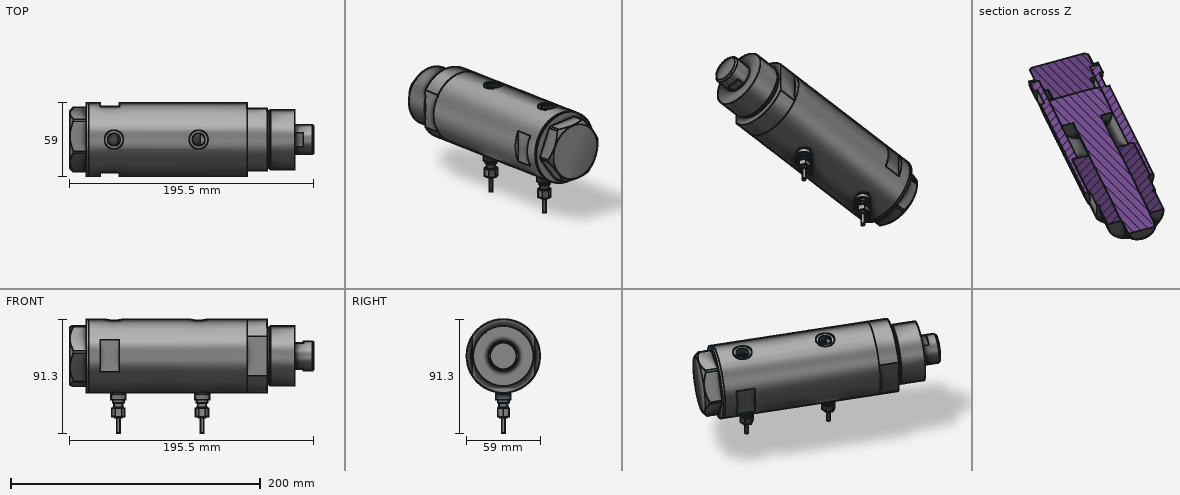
import cadquery as cq


HEX_TURN = 30.0

FLANGE_START = 13.0
HOUSING_START = 15.0
GLAND_START = 142.0
NECK_START = 157.9
COLLAR_START = 159.9
COLLAR_END = 180.2
ROD_END = 195.5

BODY_RADIUS = 29.5
BORE_RADIUS = 21.5
GLAND_SEAT_RADIUS = 26.0
HOUSING_FLAT_WIDTH = 53.2
HOUSING_FLAT_START = 24.6
HOUSING_FLAT_LENGTH = 15.0
PORT_POSITIONS = (35.4, 103.2)
PORT_DIAMETER = 10.0
SPOTFACE_DIAMETER = 15.0
SPOTFACE_DEPTH = 1.2

HEX_WIDTH = 46.0
HEX_CORNER_RADIUS = 26.0
HEX_FACE_RADIUS = 22.7
HEX_CHAMFER_LENGTH = 3.0
HEX_TILT = 7.0
PLUG_END = 27.4
STOP_RADIUS = 18.2

GLAND_SPIGOT_START = 104.4
GLAND_FLAT_WIDTH = 50.0
COLLAR_RADIUS = 24.0
NECK_RADIUS = 23.0
COLLAR_CHAMFER = COLLAR_RADIUS - NECK_RADIUS

PISTON_START = 38.5
PISTON_LENGTH = 29.3
ROD_RADIUS = 12.0
ROD_CHAMFER = 1.4
ROD_FLAT_WIDTH = 21.1
ROD_FLAT_LENGTH = 6.8

SENSOR_POSITIONS = (38.9, 106.0)
SENSOR_TOP = 28.0
SENSOR_PLUG_RADIUS = 5.9
SENSOR_PLUG_END = 30.5
SENSOR_BASE_RADIUS = 6.0
SENSOR_BASE_END = 35.0
SENSOR_RING_DIAMETER = 9.2
SENSOR_RING_END = 37.3
SENSOR_SHOULDER_RADIUS = 3.7
SENSOR_SHOULDER_END = 38.0
SENSOR_NECK_RADIUS = 3.5
SENSOR_NECK_END = 41.2
SENSOR_WASHER_RADIUS = 4.1
SENSOR_WASHER_END = 41.8
SENSOR_NUT_WIDTH = 9.2
SENSOR_NUT_END = 48.5
SENSOR_TIP_TOP_RADIUS = 3.7
SENSOR_TIP_BOTTOM_RADIUS = 2.5
SENSOR_TIP_END = 49.6
CABLE_RADIUS = 1.4
CABLE_END = 61.8


def axial_cylinder(radius, start, end):
    """Cylinder about the X axis between two stations."""
    return cq.Workplane("YZ", origin=(start, 0, 0)).circle(radius).extrude(end - start)


def vertical_cylinder(x, radius, bottom, top):
    """Cylinder about a vertical line through the X axis."""
    return cq.Workplane("XY", origin=(x, 0, bottom)).circle(radius).extrude(top - bottom)


def vertical_cone(x, bottom_radius, top_radius, bottom, top):
    """Cut-off cone about a vertical line through the X axis."""
    up = cq.Vector(0, 0, 1)
    cone = cq.Solid.makeCone(bottom_radius, top_radius, top - bottom, cq.Vector(x, 0, bottom), up)
    return cq.Workplane("XY").add(cone)


def flat_cutters(start, end, flat_width):
    """Pair of blocks to cut away, which leave two flats facing -Y and +Y at flat_width apart."""
    block_size = 2 * BODY_RADIUS
    offset = (flat_width + block_size) / 2
    return (
        cq.Workplane("XY", origin=((start + end) / 2, 0, 0))
        .pushPoints([(0, -offset), (0, offset)])
        .box(end - start, block_size, block_size)
    )


def make_housing():
    housing = axial_cylinder(BODY_RADIUS, HOUSING_START, GLAND_START)
    housing = housing.cut(axial_cylinder(BORE_RADIUS, HOUSING_START, GLAND_START))
    housing = housing.cut(axial_cylinder(GLAND_SEAT_RADIUS, GLAND_SPIGOT_START, GLAND_START))
    flat_end = HOUSING_FLAT_START + HOUSING_FLAT_LENGTH
    housing = housing.cut(flat_cutters(HOUSING_FLAT_START, flat_end, HOUSING_FLAT_WIDTH))
    spotface_floor = BODY_RADIUS - SPOTFACE_DEPTH
    for x in PORT_POSITIONS:
        port = vertical_cylinder(x, PORT_DIAMETER / 2, 0, BODY_RADIUS)
        spotface = vertical_cylinder(x, SPOTFACE_DIAMETER / 2, spotface_floor, BODY_RADIUS)
        housing = housing.cut(port).cut(spotface)
    for x in SENSOR_POSITIONS:
        housing = housing.cut(vertical_cylinder(x, SENSOR_PLUG_RADIUS, -BODY_RADIUS, -SENSOR_TOP))
    return housing


def make_cap():
    hex_head = (
        cq.Workplane("YZ")
        .polygon(6, HEX_WIDTH, circumscribed=True)
        .extrude(FLANGE_START)
        .rotate((0, 0, 0), (1, 0, 0), HEX_TURN - HEX_TILT)
    )
    corner_trim = (
        cq.Workplane("XY")
        .moveTo(0, 0)
        .lineTo(0, HEX_FACE_RADIUS)
        .lineTo(HEX_CHAMFER_LENGTH, HEX_CORNER_RADIUS)
        .lineTo(FLANGE_START, HEX_CORNER_RADIUS)
        .lineTo(FLANGE_START, 0)
        .close()
        .revolve(360, (0, 0, 0), (1, 0, 0))
    )
    flange = axial_cylinder(BODY_RADIUS, FLANGE_START, HOUSING_START)
    plug = axial_cylinder(BORE_RADIUS, HOUSING_START, PLUG_END)
    stop = axial_cylinder(STOP_RADIUS, PLUG_END, PISTON_START)
    return hex_head.intersect(corner_trim).union(flange).union(plug).union(stop)


def make_gland():
    spigot = axial_cylinder(GLAND_SEAT_RADIUS, GLAND_SPIGOT_START, GLAND_START)
    head = axial_cylinder(BODY_RADIUS, GLAND_START, NECK_START)
    head = head.cut(flat_cutters(GLAND_START, NECK_START, GLAND_FLAT_WIDTH))
    neck = axial_cylinder(NECK_RADIUS, NECK_START, COLLAR_START)
    collar_blank = axial_cylinder(COLLAR_RADIUS, COLLAR_START, COLLAR_END)
    collar = collar_blank.faces("<X").chamfer(COLLAR_CHAMFER)
    rod_bore = axial_cylinder(ROD_RADIUS, GLAND_SPIGOT_START, COLLAR_END)
    return spigot.union(head).union(neck).union(collar).cut(rod_bore)


def make_piston_rod():
    piston = axial_cylinder(BORE_RADIUS, PISTON_START, PISTON_START + PISTON_LENGTH)
    rod = axial_cylinder(ROD_RADIUS, PISTON_START, ROD_END).faces(">X").chamfer(ROD_CHAMFER)
    cutters = flat_cutters(COLLAR_END, COLLAR_END + ROD_FLAT_LENGTH, ROD_FLAT_WIDTH)
    rod = rod.cut(cutters.rotate((0, 0, 0), (1, 0, 0), 90))
    return piston.union(rod)


def make_sensor(x):
    round_sections = [
        (SENSOR_PLUG_RADIUS, SENSOR_TOP, SENSOR_PLUG_END),
        (SENSOR_BASE_RADIUS, SENSOR_PLUG_END, SENSOR_BASE_END),
        (SENSOR_RING_DIAMETER / 2, SENSOR_BASE_END, SENSOR_RING_END),
        (SENSOR_SHOULDER_RADIUS, SENSOR_RING_END, SENSOR_SHOULDER_END),
        (SENSOR_NECK_RADIUS, SENSOR_SHOULDER_END, SENSOR_NECK_END),
        (SENSOR_WASHER_RADIUS, SENSOR_NECK_END, SENSOR_WASHER_END),
        (CABLE_RADIUS, SENSOR_TIP_END, CABLE_END),
    ]
    sensor = (
        cq.Workplane("XY", origin=(x, 0, -SENSOR_NUT_END))
        .polygon(6, SENSOR_NUT_WIDTH, circumscribed=True)
        .extrude(SENSOR_NUT_END - SENSOR_WASHER_END)
        .rotate((x, 0, 0), (x, 0, 1), HEX_TURN)
    )
    tip = vertical_cone(
        x, SENSOR_TIP_BOTTOM_RADIUS, SENSOR_TIP_TOP_RADIUS, -SENSOR_TIP_END, -SENSOR_NUT_END
    )
    sensor = sensor.union(tip)
    for radius, start_depth, end_depth in round_sections:
        sensor = sensor.union(vertical_cylinder(x, radius, -end_depth, -start_depth))
    return sensor


housing = make_housing()
cap = make_cap()
gland = make_gland()
piston_rod = make_piston_rod()
sensors = [make_sensor(x).val() for x in SENSOR_POSITIONS]

result = cq.Compound.makeCompound(
    [housing.val(), cap.val(), gland.val(), piston_rod.val(), *sensors]
)